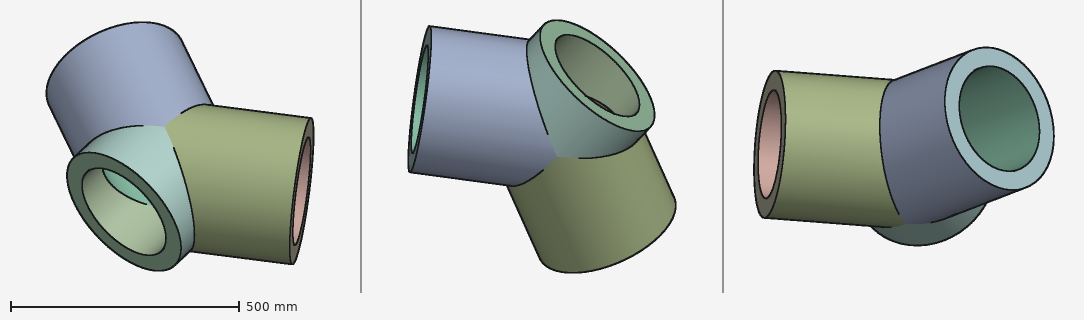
import cadquery as cq
import math

OUTER_DIAMETER = 323.85
BORE_DIAMETER = 238.15
ARM_LENGTH = 304.8
LEG_LENGTH = 139.7

LEG_ANGLE = -90
BRANCH_SPACING = 120

BRANCHES = [
    (LEG_ANGLE, LEG_LENGTH),
    (LEG_ANGLE + BRANCH_SPACING, ARM_LENGTH),
    (LEG_ANGLE + 2 * BRANCH_SPACING, ARM_LENGTH),
]

MITER_ANGLE = BRANCH_SPACING / 2


def miter_sector(length):
    """Prism about +X, apex on the Z axis, bounded by the two miter planes."""
    half_width = length * math.tan(math.radians(MITER_ANGLE))
    return (
        cq.Workplane("XY")
        .polyline([(0, 0), (length, -half_width), (length, half_width)])
        .close()
        .extrude(OUTER_DIAMETER, both=True)
    )


def mitered_branch(angle, length):
    """Pipe from the origin outward, trimmed to its own sector and turned to its direction."""
    pipe = cq.Workplane("YZ").circle(OUTER_DIAMETER / 2).circle(BORE_DIAMETER / 2).extrude(length)
    return pipe.intersect(miter_sector(length)).rotate((0, 0, 0), (0, 0, 1), angle)


def joined_branches():
    """All branches fused along their miter planes."""
    body = cq.Workplane("XY")
    for angle, length in BRANCHES:
        body = body.union(mitered_branch(angle, length))
    return body


result = joined_branches().solids()